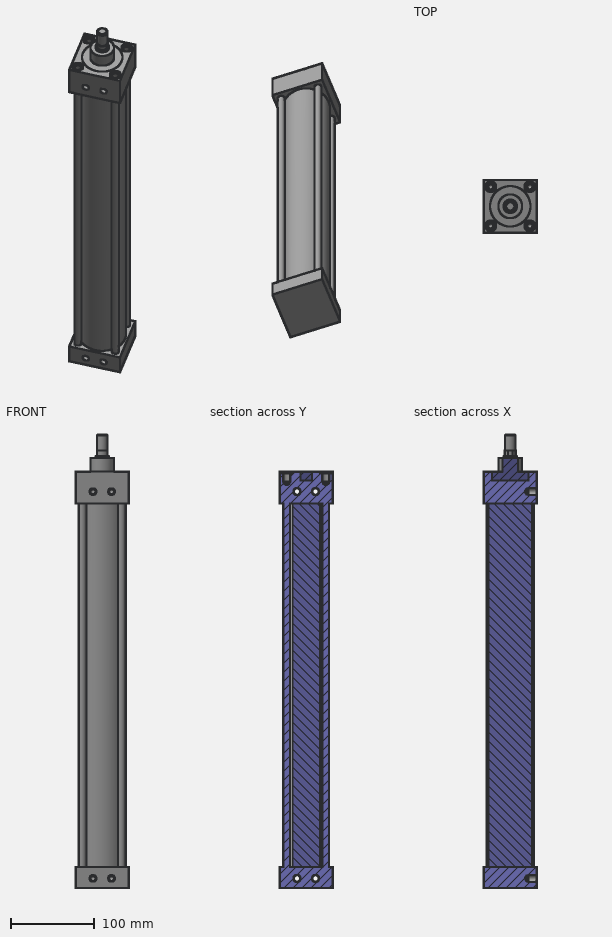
import cadquery as cq
import math

block_side = 63.5
cap_height = 25.4
head_height = 38.1
total_height = 542.92
tie_rod_offset = 23.4
tie_rod_diameter = 8.6

drill_point_angle = 118
side_hole_spacing = 22.2
side_hole_mouth_diameter = 7.94
side_hole_mouth_depth = 10.0
side_hole_drill_diameter = 6.5
side_hole_drill_depth = 12.0
head_hole_height = 14.3
cap_hole_height = 11.5

nut_recess_diameter = 12.7
nut_recess_depth = 2.0
nut_hole_mouth_diameter = 7.94
nut_hole_mouth_depth = 10.0
nut_hole_drill_diameter = 6.5
nut_hole_drill_depth = 12.0

barrel_diameter = 57.15

gland_disc_diameter = 48.4
gland_disc_depth = 10.0
boss_diameter = 28.575
boss_height = 16.5

rod_exposed_length = 44.45
rod_diameter = 15.875
shank_chamfer = 1.1
rod_end_diameter = 12.7
rod_end_length = 19.05
rod_end_chamfer = 1.3
neck_diameter = 13.6
neck_length = 6.35
flats_width = 12.7

head_top = total_height - rod_exposed_length
head_bottom = head_top - head_height
barrel_length = head_bottom - cap_height
gland_bottom = head_top - gland_disc_depth
neck_top = total_height - rod_end_length
neck_bottom = neck_top - neck_length

corners = [(x, y) for x in (-tie_rod_offset, tie_rod_offset) for y in (-tie_rod_offset, tie_rod_offset)]


def cylinder(diameter, bottom, height):
    return cq.Workplane("XY").workplane(offset=bottom).circle(diameter / 2).extrude(height)


def end_block(bottom, height):
    return cq.Workplane("XY").workplane(offset=bottom).rect(block_side, block_side).extrude(height)


def stepped_hole(mouth_diameter, mouth_depth, drill_diameter, drill_depth):
    """Cutter along -Z from the origin: wide mouth, narrower drilled hole, conical bottom."""
    point_length = drill_diameter / 2 / math.tan(math.radians(drill_point_angle / 2))
    return (
        cq.Workplane("XZ")
        .lineTo(mouth_diameter / 2, 0)
        .lineTo(mouth_diameter / 2, -mouth_depth)
        .lineTo(drill_diameter / 2, -mouth_depth)
        .lineTo(drill_diameter / 2, -drill_depth)
        .lineTo(0, -drill_depth - point_length)
        .close()
        .revolve(360, (0, 0), (0, 1))
    )


def make_frame():
    """Cap and head joined by the four tie rods."""
    body = end_block(0, cap_height).union(end_block(head_bottom, head_height))
    for x, y in corners:
        tie_rod = cylinder(tie_rod_diameter, cap_height, barrel_length).translate((x, y, 0))
        body = body.union(tie_rod)

    nut_hole = stepped_hole(
        nut_hole_mouth_diameter, nut_hole_mouth_depth, nut_hole_drill_diameter, nut_hole_drill_depth
    ).translate((0, 0, head_top - nut_recess_depth))
    nut_recess = cylinder(nut_recess_diameter, head_top - nut_recess_depth, nut_recess_depth)
    for x, y in corners:
        body = body.cut(nut_recess.translate((x, y, 0))).cut(nut_hole.translate((x, y, 0)))

    side_hole = stepped_hole(
        side_hole_mouth_diameter, side_hole_mouth_depth, side_hole_drill_diameter, side_hole_drill_depth
    ).rotate((0, 0, 0), (1, 0, 0), 90)
    for x in (-side_hole_spacing / 2, side_hole_spacing / 2):
        for z in (cap_hole_height, head_bottom + head_hole_height):
            body = body.cut(side_hole.translate((x, -block_side / 2, z)))

    gland_recess = cylinder(gland_disc_diameter, gland_bottom, gland_disc_depth)
    return body.cut(gland_recess)


def make_barrel():
    return cylinder(barrel_diameter, cap_height, barrel_length)


def make_gland():
    disc = cylinder(gland_disc_diameter, gland_bottom, gland_disc_depth)
    boss = cylinder(boss_diameter, head_top, boss_height)
    rod_bore = cylinder(rod_diameter, gland_bottom, gland_disc_depth + boss_height)
    return disc.union(boss).cut(rod_bore)


def make_piston_rod():
    shank_length = neck_bottom - gland_bottom
    shank = cylinder(rod_diameter, gland_bottom, shank_length).faces(">Z").chamfer(shank_chamfer)
    flats = (
        cq.Workplane("XY")
        .workplane(offset=neck_bottom)
        .rect(flats_width, neck_diameter)
        .extrude(neck_length)
    )
    neck = cylinder(neck_diameter, neck_bottom, neck_length).intersect(flats)
    rod_end = cylinder(rod_end_diameter, neck_top, rod_end_length).faces(">Z").chamfer(rod_end_chamfer)
    return shank.union(neck).union(rod_end)


frame = make_frame()
barrel = make_barrel()
gland = make_gland()
piston_rod = make_piston_rod()

result = cq.Compound.makeCompound([frame.val(), barrel.val(), gland.val(), piston_rod.val()])